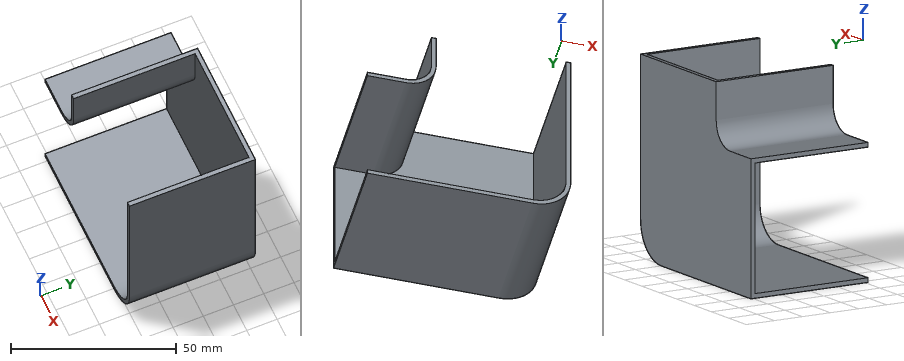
import cadquery as cq

leg_length = 63.6
depth = 41.7
wall = 1.5

channel_width = 43.6
heel_radius = 12.0
throat_radius = 8.0

step = leg_length - channel_width


def elbow_prism(inset, y_start, y_end):
    """Elbow-shaped prism whose curved sides lie `inset` inside the outer skin.

    The two leg ends stay flush with the outer ends at X = 0 and Z = leg_length.
    """
    low = inset
    high = leg_length - inset
    notch = step + inset
    prism = (
        cq.Workplane("XZ", origin=(0, y_start, 0))
        .moveTo(0, low)
        .lineTo(high, low)
        .lineTo(high, leg_length)
        .lineTo(notch, leg_length)
        .lineTo(notch, leg_length - notch)
        .lineTo(0, leg_length - notch)
        .close()
        .extrude(y_start - y_end)
    )
    heel = cq.selectors.NearestToPointSelector((high, (y_start + y_end) / 2, low))
    throat = cq.selectors.NearestToPointSelector((notch, (y_start + y_end) / 2, leg_length - notch))
    prism = prism.edges(heel).fillet(heel_radius - inset)
    return prism.edges(throat).fillet(throat_radius + inset)


outer = elbow_prism(0, 0, depth)
cavity = elbow_prism(wall, 0, depth - wall)

result = outer.cut(cavity)